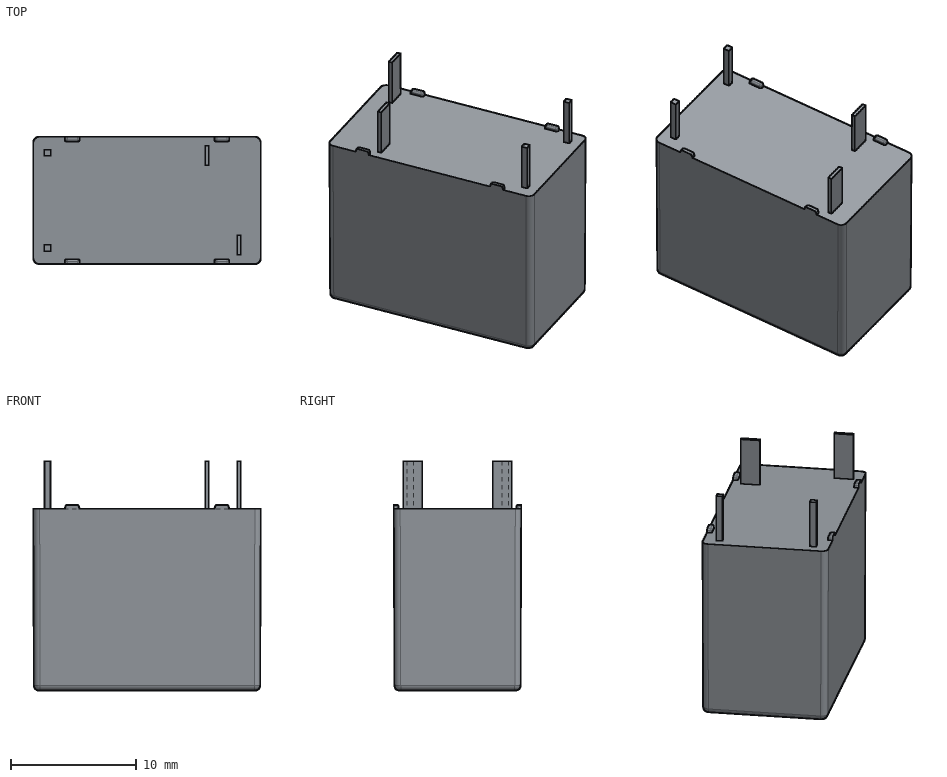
import cadquery as cq


case_length = 18.2
case_width = 10.2
overall_height = 18.35
pin_height = 3.8
case_height = overall_height - pin_height
case_draft_angle = 0.18
case_side_radius = 0.5
case_bottom_radius = 0.45

coil_pin_side = 0.5
coil_pin_x = -7.95
coil_pin_y = 3.8

blade_thickness = 0.3
blade_width = 1.55
blade_y = 3.575
rear_blade_x = 4.8
front_blade_x = 7.35

tab_spacing = 11.96
tab_base_length = 1.2
tab_top_length = 1.0
tab_depth = 0.4
tab_height = 0.3
tab_edge_radius = 0.15


def make_drafted_block():
    """Block up to the tab tops that narrows towards its bottom, with rounded sides and bottom."""
    block = (
        cq.Workplane("XY")
        .workplane(offset=case_height + tab_height)
        .rect(case_length, case_width)
        .extrude(-(case_height + tab_height), taper=case_draft_angle)
    )
    rounded_sides = block.edges("not (>Z or <Z)").fillet(case_side_radius)
    return rounded_sides.faces("<Z").edges().fillet(case_bottom_radius)


def make_case(block):
    """Drafted block cut off level with the top face."""
    trim = (
        cq.Workplane("XY", origin=(0, 0, case_height))
        .rect(2 * case_length, 2 * case_width)
        .extrude(2 * tab_height)
    )
    return block.cut(trim)


def make_pin(x, y, size_x, size_y):
    """Rectangular terminal standing on the top face."""
    return (
        cq.Workplane("XY", origin=(x, y, case_height))
        .rect(size_x, size_y)
        .extrude(pin_height)
    )


def make_tab(x):
    """Tab on the +Y edge: sloped ends, outer face flush with the case, other edges rounded."""
    half_base = tab_base_length / 2
    half_top = tab_top_length / 2
    tab = (
        cq.Workplane("XZ", origin=(x, case_width / 2, case_height))
        .polyline([(-half_base, 0), (half_base, 0), (half_top, tab_height), (-half_top, tab_height)])
        .close()
        .extrude(tab_depth)
    )
    return tab.edges("not (>Y or <Z)").fillet(tab_edge_radius)


drafted_block = make_drafted_block()
result = make_case(drafted_block)

for side in (-1, 1):
    result = result.union(make_pin(coil_pin_x, side * coil_pin_y, coil_pin_side, coil_pin_side))

result = result.union(make_pin(rear_blade_x, blade_y, blade_thickness, blade_width))
result = result.union(make_pin(front_blade_x, -blade_y, blade_thickness, blade_width))

for end in (-1, 1):
    rear_tab = make_tab(end * tab_spacing / 2).intersect(drafted_block)
    result = result.union(rear_tab).union(rear_tab.mirror("XZ"))